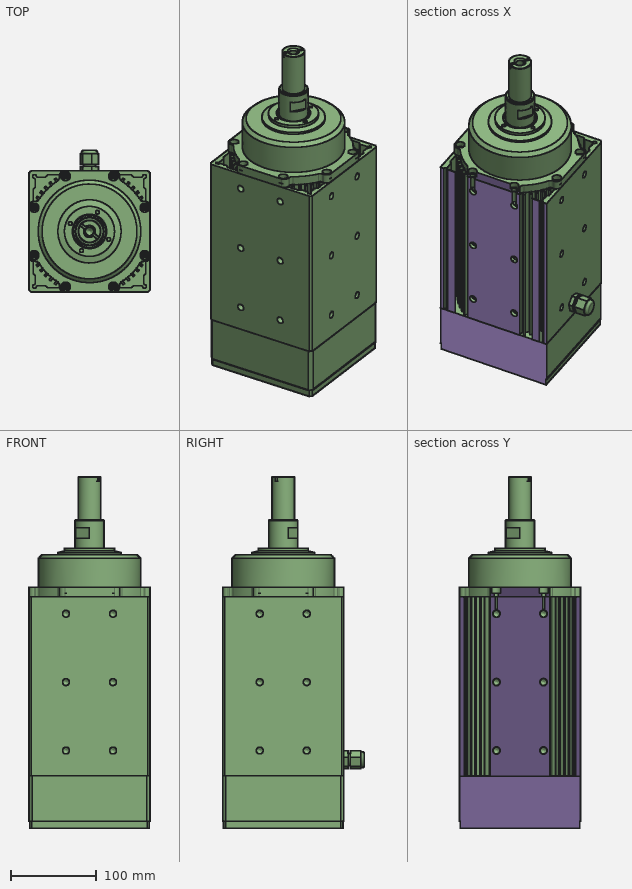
import cadquery as cq
import math

step_top = 8.5
cap_top = 61.5
housing_top = 271.0
flange_top = 282.0
nose_top = 320.2
cover_top = 327.8
shoulder_top = 361.0
shaft_top = 411.0

side = 142.0
half_side = side / 2

cap_chamfer = 4.0
step_inset = 1.0
step_chamfer = 2.6

housing_chamfer = 2.6
duct_outer = 66.0
duct_corner = 63.5
duct_step_start = 49.0
duct_end = 35.0
duct_inner_radius = 68.0
rib_tip_radius = 73.6
rib_width = 2.4
rib_pitch_angle = 6.0
ribs_per_corner = 5
corner_screw_diameter = 4.4
corner_screw_offset = 64.3
corner_slit_width = 3.2

mount_diameter = 8.0
mount_depth = 12.0
mount_half_spacing = 27.5
mount_pitch = 80.0
mount_middle = 171.0

flange_arc_radius = 70.0
nose_radius = 60.0
nose_chamfer = 4.5
bolt_near = 27.8
bolt_far = 64.6
ear_side = 35.2
ear_radius = 6.3
ear_root_fillet = 5.0
bolt_diameter = 6.6
bolt_head_diameter = 10.6
bolt_head_depth = 6.8
tap_diameter = 5.0
tap_depth = 15.0

drill_point_angle = 118.0

cover_base_radius = 37.0
cover_lip_height = 2.4
cover_cone_top = nose_top + 4.2
cover_disc_radius = 29.3
groove_radius = 19.2
groove_depth = 1.5
groove_chamfer = 0.9
cover_hole_diameter = 4.3
cover_hole_depth = 6.0
cover_hole_circle_radius = 24.3
cover_hole_angle = 67.5
cover_hole_count = 4

shoulder_radius = 17.0
shoulder_chamfer = 1.0
shaft_radius = 13.25
shaft_chamfer = 0.5
flat_distance = 14.0
flat_bottom = 339.0
flat_top = 351.5
flat_angle = 235.0
slot_width = 3.0
slot_depth = 5.0
slot_angle = -38.0
centre_mouth_diameter = 14.0
centre_diameter = 10.0
centre_mouth_depth = 2.0
centre_depth = 20.0

gland_z = 80.3
gland_across_flats = 19.0
gland_turn = 15.0
gland_neck_radius = 7.3
gland_dome_radius = gland_across_flats / 2
gland_dome_fillet = 3.0
gland_nut_length = 5.0
gland_neck_length = 2.5
gland_hex_length = 12.3
gland_length = 24.0


def square_block(width, chamfer, bottom, top):
    """Upright square bar with chamfered vertical edges."""
    block = cq.Workplane("XY").workplane(offset=bottom).rect(width, width).extrude(top - bottom)
    return block.edges("|Z").chamfer(chamfer)


def cylinder(radius, bottom, top):
    """Upright cylinder on the motor axis."""
    return cq.Workplane("XY").workplane(offset=bottom).circle(radius).extrude(top - bottom)


def drilled_hole(diameter, depth):
    """Blind drilled hole going down from the origin, with a conical end."""
    radius = diameter / 2
    point_length = radius / math.tan(math.radians(drill_point_angle / 2))
    return (
        cq.Workplane("XZ")
        .lineTo(radius, 0)
        .lineTo(radius, -depth)
        .lineTo(0, -depth - point_length)
        .close()
        .revolve(360, (0, 0, 0), (0, 1, 0))
    )


def bolt_points():
    """Positions of the eight flange bolts, two beside each corner."""
    return [
        (sign_x * x, sign_y * y)
        for x, y in ((bolt_near, bolt_far), (bolt_far, bolt_near))
        for sign_x in (-1, 1)
        for sign_y in (-1, 1)
    ]


def make_rear_cap():
    step = square_block(side - 2 * step_inset, step_chamfer, 0, step_top)
    return step.union(square_block(side, cap_chamfer, step_top, cap_top))


def make_corner_duct():
    """Void of one cooling duct, in the +X +Y corner, with its ribs left standing."""
    height = housing_top - cap_top
    base = cq.Workplane("XY").workplane(offset=cap_top)
    duct = (
        base.moveTo(duct_end, duct_end)
        .lineTo(duct_outer, duct_end)
        .lineTo(duct_outer, duct_step_start)
        .lineTo(duct_corner, duct_step_start + duct_outer - duct_corner)
        .lineTo(duct_corner, duct_corner)
        .lineTo(duct_step_start + duct_outer - duct_corner, duct_corner)
        .lineTo(duct_step_start, duct_outer)
        .lineTo(duct_end, duct_outer)
        .close()
        .extrude(height)
        .cut(cylinder(duct_inner_radius, cap_top, housing_top))
    )
    for index in range(ribs_per_corner):
        angle = 45 + (index - (ribs_per_corner - 1) / 2) * rib_pitch_angle
        rib = base.rect(2 * rib_tip_radius, rib_width).extrude(height)
        duct = duct.cut(rib.rotate((0, 0, 0), (0, 0, 1), angle))

    screw_hole = (
        base.center(corner_screw_offset, corner_screw_offset)
        .circle(corner_screw_diameter / 2)
        .extrude(height)
    )
    slit = (
        base.center(duct_corner, duct_corner)
        .transformed(rotate=(0, 0, 45))
        .rect(corner_screw_diameter, corner_slit_width)
        .extrude(height)
    )
    return duct.union(screw_hole).union(slit)


def make_housing():
    housing = square_block(side, housing_chamfer, cap_top, housing_top)
    duct = make_corner_duct()
    mount_hole = drilled_hole(mount_diameter, mount_depth).rotate((0, 0, 0), (1, 0, 0), 90)
    mount_holes = cq.Workplane("XY")
    for across in (-mount_half_spacing, mount_half_spacing):
        for row in (-1, 0, 1):
            place = (across, -half_side, mount_middle + row * mount_pitch)
            mount_holes = mount_holes.add(mount_hole.translate(place))
    mount_holes = mount_holes.combine()
    for quarter in range(4):
        turn = 90 * quarter
        housing = housing.cut(duct.rotate((0, 0, 0), (0, 0, 1), turn))
        housing = housing.cut(mount_holes.rotate((0, 0, 0), (0, 0, 1), turn))
    tap = drilled_hole(tap_diameter, tap_depth)
    for x, y in bolt_points():
        housing = housing.cut(tap.translate((x, y, housing_top)))
    return housing


def make_flange():
    """Plate with eight bolt ears around a round body, carrying the cylindrical nose."""
    thickness = flange_top - housing_top
    base = cq.Workplane("XY").workplane(offset=housing_top)
    bar = base.rect(side, 2 * ear_side).extrude(thickness).edges("|Z").fillet(ear_radius)
    cross_bar = bar.rotate((0, 0, 0), (0, 0, 1), 90)
    disc = cylinder(flange_arc_radius, housing_top, flange_top)
    plate = bar.union(cross_bar).union(disc)

    root_far = math.sqrt(flange_arc_radius**2 - ear_side**2)
    reach = 1.0
    for sign_x in (-1, 1):
        for sign_y in (-1, 1):
            for x, y in ((ear_side, root_far), (root_far, ear_side)):
                root = cq.selectors.BoxSelector(
                    (sign_x * x - reach, sign_y * y - reach, housing_top - reach),
                    (sign_x * x + reach, sign_y * y + reach, flange_top + reach),
                )
                plate = plate.edges("|Z").edges(root).fillet(ear_root_fillet)

    nose = cylinder(nose_radius, flange_top, nose_top).faces(">Z").chamfer(nose_chamfer)
    bolt_holes = base.pushPoints(bolt_points()).circle(bolt_diameter / 2).extrude(thickness)
    head_recesses = (
        cq.Workplane("XY")
        .workplane(offset=flange_top - bolt_head_depth)
        .pushPoints(bolt_points())
        .circle(bolt_head_diameter / 2)
        .extrude(bolt_head_depth)
    )
    flange = plate.union(nose).cut(bolt_holes).cut(head_recesses)
    return flange.cut(cylinder(shoulder_radius, housing_top, nose_top))


def make_bearing_cover():
    """Stepped ring around the shaft: coned base, flat disc and a groove at the bore."""
    cover = (
        cq.Workplane("XZ")
        .moveTo(shoulder_radius, nose_top)
        .lineTo(cover_base_radius, nose_top)
        .lineTo(cover_base_radius, nose_top + cover_lip_height)
        .lineTo(cover_disc_radius, cover_cone_top)
        .lineTo(cover_disc_radius, cover_top)
        .lineTo(groove_radius + groove_chamfer, cover_top)
        .lineTo(groove_radius, cover_top - groove_chamfer)
        .lineTo(groove_radius, cover_top - groove_depth)
        .lineTo(shoulder_radius, cover_top - groove_depth)
        .close()
        .revolve(360, (0, 0, 0), (0, 1, 0))
    )
    holes = (
        cq.Workplane("XY")
        .workplane(offset=cover_top - cover_hole_depth)
        .polarArray(cover_hole_circle_radius, cover_hole_angle, 360, cover_hole_count)
        .circle(cover_hole_diameter / 2)
        .extrude(cover_hole_depth)
    )
    return cover.cut(holes)


def make_shaft():
    shoulder = cylinder(shoulder_radius, housing_top, shoulder_top)
    shoulder = shoulder.faces(">Z").chamfer(shoulder_chamfer)
    journal = cylinder(shaft_radius, shoulder_top, shaft_top).faces(">Z").chamfer(shaft_chamfer)
    shaft = shoulder.union(journal)

    flat_depth = shoulder_radius - flat_distance
    flat_cut = (
        cq.Workplane("XY")
        .workplane(offset=flat_bottom)
        .pushPoints([(sign * (flat_distance + flat_depth / 2), 0) for sign in (-1, 1)])
        .rect(flat_depth, 2 * shoulder_radius)
        .extrude(flat_top - flat_bottom)
    )
    shaft = shaft.cut(flat_cut.rotate((0, 0, 0), (0, 0, 1), flat_angle))

    slot = (
        cq.Workplane("XY")
        .workplane(offset=shaft_top - slot_depth)
        .rect(2 * shaft_radius, slot_width)
        .extrude(slot_depth)
    )
    shaft = shaft.cut(slot.rotate((0, 0, 0), (0, 0, 1), slot_angle))

    centre_hole = (
        cq.Workplane("XZ")
        .moveTo(0, shaft_top)
        .lineTo(centre_mouth_diameter / 2, shaft_top)
        .lineTo(centre_diameter / 2, shaft_top - centre_mouth_depth)
        .lineTo(centre_diameter / 2, shaft_top - centre_depth)
        .lineTo(0, shaft_top - centre_depth - centre_diameter / 2)
        .close()
        .revolve(360, (0, 0, 0), (0, 1, 0))
    )
    return shaft.cut(centre_hole)


def gland_plane(distance):
    """Sketch plane facing +Y, the given distance outside the housing's +Y face."""
    return cq.Workplane(
        cq.Plane(origin=(0, half_side + distance, gland_z), xDir=(1, 0, 0), normal=(0, 1, 0))
    )


def make_cable_gland():
    hex_diameter = gland_across_flats / math.cos(math.radians(30))
    neck_end = gland_nut_length + gland_neck_length
    hex_end = neck_end + gland_hex_length

    def hexagon(start, length):
        turned = gland_plane(start).transformed(rotate=(0, 0, -gland_turn))
        return turned.polygon(6, hex_diameter).extrude(length)

    neck = gland_plane(0).circle(gland_neck_radius).extrude(hex_end)
    dome = gland_plane(hex_end).circle(gland_dome_radius).extrude(gland_length - hex_end)
    dome = dome.faces(">Y").edges().fillet(gland_dome_fillet)
    return (
        neck.union(hexagon(0, gland_nut_length))
        .union(hexagon(neck_end, gland_hex_length))
        .union(dome)
    )


rear_cap = make_rear_cap()
housing = make_housing()
flange = make_flange()
bearing_cover = make_bearing_cover()
shaft = make_shaft()
cable_gland = make_cable_gland()

bodies = [rear_cap, housing, flange, bearing_cover, shaft, cable_gland]
result = cq.Compound.makeCompound([body.solids().val() for body in bodies])